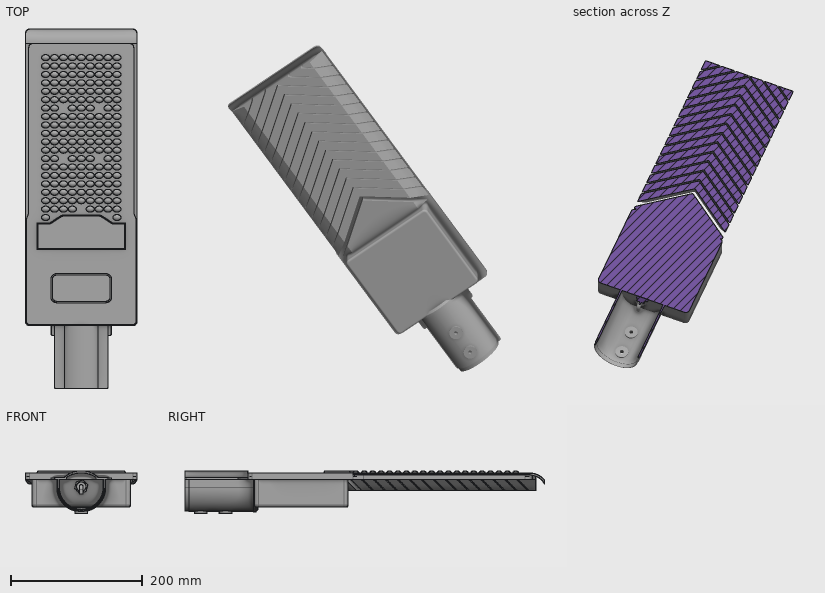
import cadquery as cq
import math


plate_bottom = -10.0
sheet_top = -1.5
sheet_bottom = -3.5
cover_thickness = 5.5
raised_height = 3.5
fin_bottom = -27.0
box_bottom = -52.0

plate_half_width = 84.9
plate_end_y = 95.5
plate_corner_radius = 6.5
body_half_width = 81.5
body_far_y = 527.5
body_corner_radius = 11.5
jog_near_y = 255.5
jog_far_y = 271.5

cover_margin = 1.5
cover_far_y = 523.5
cover_far_radius = 6.0
cover_near_radius = 5.0
cover_jog_near_y = 257.5
cover_jog_far_y = 266.0

visor_tip_y = 546.0
visor_radius = 28.5
visor_corner_radius = 7.5
visor_thickness = 3.5

lens_columns = 9
lens_rows = 20
lens_pitch_x = 13.55
lens_pitch_y = 12.8
lens_first_y = 502.5
lens_length = 12.5
lens_width = 9.5
fastener_rows = (6, 12)
fastener_columns = (2, 6)
middle_column = lens_columns // 2
last_row = lens_rows - 1

pad_half_width = 67.0
pad_near_y = 211.0
pad_shoulder_y = 251.0
pad_far_y = 263.0
pad_shoulder_half = 48.0
pad_far_half = 29.5
pad_bend_radius = 6.5
pad_taper = 25
nameplate_length = 92.5
nameplate_width = 44.0
nameplate_y = 152.5
nameplate_radius = 9.0
groove_width = 2.0
groove_depth = 1.0

box_half_width = 75.0
box_near_y = 105.5
box_far_y = 248.0
box_corner_radius = 6.5
box_edge_radius = 3.5

fin_half_width = 83.5
fin_bottom_half_width = 61.0
fin_far_y = 533.0
fin_pitch = 18.1
fin_count = 14
fin_slot_width = 2.0
fin_first_y = 505.5
last_slot_width = 8.0

socket_radius = 36.5
socket_axis_z = -22.0
socket_wall = 3.5
socket_far_y = 111.0
socket_edge_chamfer = 3.5
collar_near_y = 104.0
collar_step = 0.5
lip_length = 6.0
lip_step = 0.8
flange_top = -6.5
flange_half_width = 41.0
flange_corner_radius = 2.0
crown_half_width = 25.5
ear_half_width = 46.0
ear_near_y = 80.0
ear_top = -7.5
ear_corner_radius = 3.5
boss_diameter = 19.5
boss_bottom = -61.5
boss_top = -52.5
boss_hole_diameter = 6.0
boss_positions_y = (24.0, 61.5)

gland_z = -21.0
nut_diameter = 21.0
nut_thickness = 4.5
nut_angle = 15
cap_diameter = 14.0
cap_length = 4.5
cable_diameter = 6.0
cable_reach = 1.5
cable_bend_radius = 4.5
cable_drop = 7.0


def block(half_width, near_y, far_y, bottom, top):
    """Box symmetric about X = 0."""
    return cq.Workplane("XY").box(
        2 * half_width, far_y - near_y, top - bottom, centered=(True, False, False)
    ).translate((0, near_y, bottom))


def mirrored_outline(right_side, height):
    """Workplane polygon at the given height, from its right half listed in order."""
    left_side = [(-x, y) for x, y in reversed(right_side)]
    return cq.Workplane("XY").workplane(offset=height).polyline(right_side + left_side).close()


def fillet_ends(solid, radius, far):
    """Round the upright edges at one Y end."""
    return solid.faces(">Y" if far else "<Y").edges("|Z").fillet(radius)


def cover_plate():
    near_half = plate_half_width - cover_margin
    far_half = body_half_width - cover_margin
    outline = [
        (near_half, plate_end_y + cover_margin),
        (near_half, cover_jog_near_y),
        (far_half, cover_jog_far_y),
        (far_half, cover_far_y),
    ]
    plate = mirrored_outline(outline, -cover_thickness).extrude(cover_thickness)
    plate = fillet_ends(plate, cover_far_radius, far=True)
    return fillet_ends(plate, cover_near_radius, far=False)


def pad():
    outline = [
        (pad_half_width, pad_near_y),
        (pad_half_width, pad_shoulder_y),
        (pad_shoulder_half, pad_shoulder_y),
        (pad_far_half, pad_far_y),
    ]
    raised = mirrored_outline(outline, 0).extrude(raised_height, taper=pad_taper)
    bends = cq.selectors.BoxSelector(
        (-pad_half_width + pad_bend_radius, pad_near_y + pad_bend_radius, raised_height / 3),
        (pad_half_width - pad_bend_radius, pad_far_y, raised_height * 2 / 3),
    )
    return raised.edges(bends).fillet(pad_bend_radius)


def nameplate_groove():
    def panel(inset):
        length = nameplate_length - 2 * inset
        width = nameplate_width - 2 * inset
        return (
            cq.Workplane("XY")
            .box(length, width, groove_depth, centered=(True, True, False))
            .edges("|Z")
            .fillet(nameplate_radius - inset)
            .translate((0, nameplate_y, -groove_depth))
        )

    return panel(0).cut(panel(groove_width))


def has_lens(row, column):
    if row == last_row:
        return column in (0, lens_columns - 1)
    if row == last_row - 1:
        return column != middle_column
    return not (row in fastener_rows and column in fastener_columns)


def lens():
    """Cap of a barrel-shaped solid whose X axis lies below the top face."""
    half_width = lens_width / 2
    axis_depth = (half_width**2 - raised_height**2) / (2 * raised_height)
    barrel = (
        cq.Workplane("XZ")
        .moveTo(-lens_length / 2, -axis_depth)
        .lineTo(-lens_length / 2, 0)
        .threePointArc((0, raised_height), (lens_length / 2, 0))
        .lineTo(lens_length / 2, -axis_depth)
        .close()
        .revolve(360, (0, -axis_depth, 0), (1, -axis_depth, 0))
    )
    return barrel.intersect(block(lens_length, -lens_width, lens_width, 0, raised_height)).val()


def lenses():
    one = lens()
    placed = []
    for row in range(lens_rows):
        for column in range(lens_columns):
            if has_lens(row, column):
                x = (column - middle_column) * lens_pitch_x
                y = lens_first_y - row * lens_pitch_y
                placed.append(one.translate(cq.Vector(x, y, 0)))
    return placed


def make_cover():
    plate = cover_plate().union(pad()).cut(nameplate_groove())
    return cq.Workplane(plate.val().fuse(*lenses()))


def lamp_plate():
    near_part = block(plate_half_width, plate_end_y, jog_near_y, plate_bottom, 0)
    near_part = fillet_ends(near_part, plate_corner_radius, far=False)
    body_outline = [
        (plate_half_width, jog_near_y),
        (body_half_width, jog_far_y),
        (body_half_width, body_far_y),
    ]
    body_height = sheet_bottom - plate_bottom
    body = mirrored_outline(body_outline, plate_bottom).extrude(body_height)
    body = fillet_ends(body, body_corner_radius, far=True)
    sheet = block(plate_half_width, jog_near_y, cover_far_y, sheet_bottom, sheet_top)
    return near_part.union(body).union(sheet)


def visor():
    """Sheet that runs on level from the lamp plate and then curls down at the far end."""
    reach = visor_tip_y - cover_far_y
    inner_radius = visor_radius - visor_thickness

    def on_arc(radius, y_offset):
        drop = math.sqrt(radius**2 - y_offset**2)
        return (cover_far_y + y_offset, drop - visor_radius)

    profile = (
        cq.Workplane("YZ")
        .moveTo(*on_arc(visor_radius, 0))
        .threePointArc(on_arc(visor_radius, reach / 2), on_arc(visor_radius, reach))
        .lineTo(*on_arc(inner_radius, reach))
        .threePointArc(on_arc(inner_radius, reach / 2), on_arc(inner_radius, 0))
        .close()
    )
    curl = profile.extrude(plate_half_width, both=True)
    plan = block(plate_half_width, cover_far_y, visor_tip_y, fin_bottom, 0)
    return curl.intersect(fillet_ends(plan, visor_corner_radius, far=True))


def driver_box():
    box = block(box_half_width, box_near_y, box_far_y, box_bottom, plate_bottom)
    box = box.edges("|Z").fillet(box_corner_radius)
    return box.faces("<Z").edges().fillet(box_edge_radius)


def fin_slot(first_y, width):
    """V-shaped slot whose arms lie at 45 degrees when seen along X on the sloping sides."""
    depth = plate_bottom - fin_bottom
    rise = fin_half_width * depth / (fin_half_width - fin_bottom_half_width)
    outline = [
        (0, first_y + rise),
        (fin_half_width, first_y),
        (fin_half_width, first_y - width),
        (0, first_y + rise - width),
        (-fin_half_width, first_y - width),
        (-fin_half_width, first_y),
    ]
    return cq.Workplane("XY").workplane(offset=fin_bottom).polyline(outline).close().extrude(depth)


def fins():
    """Block with sloping sides under the lens field, cut into fins by V-shaped slots."""
    profile = [
        (fin_half_width, plate_bottom),
        (fin_bottom_half_width, fin_bottom),
        (-fin_bottom_half_width, fin_bottom),
        (-fin_half_width, plate_bottom),
    ]
    fin_block = (
        cq.Workplane("XZ")
        .polyline(profile)
        .close()
        .extrude(-(fin_far_y - box_far_y))
        .translate((0, box_far_y, 0))
    )
    for number in range(fin_count):
        fin_block = fin_block.cut(fin_slot(fin_first_y - number * fin_pitch, fin_slot_width))
    last_y = fin_first_y - fin_count * fin_pitch
    fin_block = fin_block.cut(fin_slot(last_y, last_slot_width))
    top_half_width = body_half_width - body_corner_radius
    end_wall = block(top_half_width, body_far_y, fin_far_y, plate_bottom, sheet_bottom)
    return fin_block.union(end_wall)


def channel(radius, near_y, far_y):
    """U-shaped bar: a half-round bottom with upright sides up to the lamp plate."""
    return (
        cq.Workplane("XZ", origin=(0, near_y, 0))
        .moveTo(radius, plate_bottom)
        .lineTo(radius, socket_axis_z)
        .threePointArc((0, socket_axis_z - radius), (-radius, socket_axis_z))
        .lineTo(-radius, plate_bottom)
        .close()
        .extrude(near_y - far_y)
    )


def crown(inset):
    """Bar along the socket with an arched top, reaching down to the sides of the socket."""
    half_width = crown_half_width - inset
    return (
        cq.Workplane("XZ")
        .moveTo(half_width, plate_bottom)
        .lineTo(half_width, flange_top)
        .threePointArc((0, raised_height - inset), (-half_width, flange_top))
        .lineTo(-half_width, plate_bottom)
        .close()
        .extrude(-plate_end_y)
    )


def socket_outside():
    collar = channel(socket_radius + collar_step, collar_near_y, socket_far_y)
    collar = collar.faces(">Y").edges("%CIRCLE").chamfer(socket_edge_chamfer)
    tube = channel(socket_radius, lip_length, collar_near_y)
    lip = channel(socket_radius - lip_step, 0, lip_length)
    flange = block(flange_half_width, 0, plate_end_y, plate_bottom, flange_top)
    flange = fillet_ends(flange, flange_corner_radius, far=False)
    ears = block(ear_half_width, ear_near_y, plate_end_y, plate_bottom, ear_top)
    ears = fillet_ends(ears, ear_corner_radius, far=False)
    return tube.union(collar).union(lip).union(flange).union(ears).union(crown(0))


def socket_bore():
    inner_radius = socket_radius - socket_wall
    bore = channel(inner_radius, 0, box_near_y + box_edge_radius)
    lip_bore = channel(inner_radius + lip_step, 0, lip_length)
    return bore.union(lip_bore).union(crown(socket_wall))


def boss_cylinders(diameter):
    places = [(0, y) for y in boss_positions_y]
    height = boss_top - boss_bottom
    return (
        cq.Workplane("XY")
        .workplane(offset=boss_bottom)
        .pushPoints(places)
        .circle(diameter / 2)
        .extrude(height)
    )


def make_housing(cover_space):
    socket = socket_outside().cut(socket_bore())
    housing = socket.union(lamp_plate()).union(visor()).union(driver_box()).union(fins())
    housing = housing.union(boss_cylinders(boss_diameter)).cut(boss_cylinders(boss_hole_diameter))
    return housing.cut(cover_space)


def make_gland():
    """Hexagon nut and round cap on the box wall, with a cable stub that bends down."""
    wall = cq.Workplane("XZ", origin=(0, box_near_y, gland_z))
    nut = (
        wall.transformed(rotate=(0, 0, nut_angle))
        .polygon(6, nut_diameter)
        .extrude(nut_thickness)
    )
    cap = wall.circle(cap_diameter / 2).extrude(nut_thickness + cap_length)
    start_y = box_near_y - nut_thickness - cap_length
    bend_y = start_y - cable_reach
    cable_path = (
        cq.Workplane("YZ")
        .moveTo(start_y, gland_z)
        .lineTo(bend_y, gland_z)
        .radiusArc((bend_y - cable_bend_radius, gland_z - cable_bend_radius), -cable_bend_radius)
        .lineTo(bend_y - cable_bend_radius, gland_z - cable_bend_radius - cable_drop)
    )
    cable = (
        cq.Workplane("XZ", origin=(0, start_y, gland_z))
        .circle(cable_diameter / 2)
        .sweep(cable_path)
    )
    return nut.union(cap).union(cable)


cover = make_cover()
housing = make_housing(cover_plate())
gland = make_gland()

result = cq.Compound.makeCompound([housing.val(), cover.val(), gland.val()])